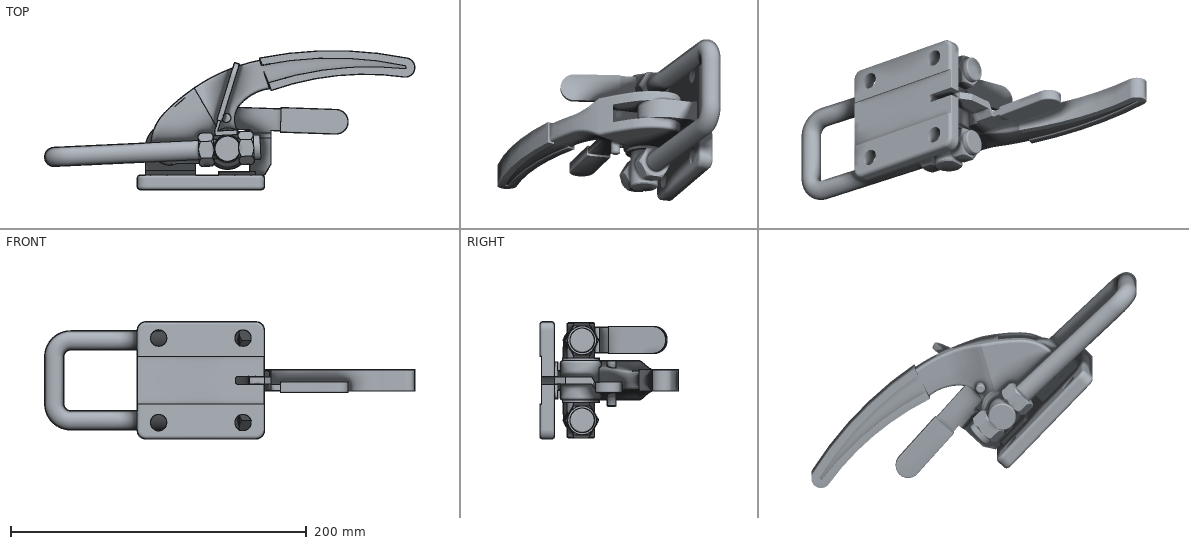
import cadquery as cq
import math


plate_length = 86.2
plate_thickness = 10.0
plate_width = 79.5
plate_corner = 6.0
plate_edge_round = 2.3
hole_spacing = 57.1
hole_diameter = 11.0
relief_width = 32.3
relief_depth = 1.0
catch_slot_start = 66.5
catch_slot_width = 5.5
catch_slot_corner = 2.0
boss_start = 55.1
boss_length = 25.0
boss_width = 25.0
boss_height = 2.3
boss_corner = 2.5
base_root = plate_thickness / 2

pivot_x = 22.5
pivot_y = 29.8
lug_radius = 17.0
lug_round_y = 28.3
lug_width = 12.5
lug_foot_width = 13.5
lug_foot_height = 3.0

trunnion_x = 61.1
trunnion_y = 27.8
trunnion_radius = 9.3
trunnion_width = 78.2
trunnion_edge = 0.8
trunnion_flat = 7.5
bolt_tilt = 2.7
rod_diameter = 13.0
rod_spacing = 54.1
rod_bend_radius = 11.3
loop_left = -62.6
loop_reach = (trunnion_x - loop_left - rod_diameter / 2) / math.cos(math.radians(bolt_tilt))
nut_flats = 19.5
nut_height = 10.3
nut_chamfer = 1.5
collar_round = 1.0
collar_diameter = 16.5
collar_height = 4.5

handle_width = 26.5
neck_width = 12.5
underside_start = 27.5
rim_round = 1.8
handle_end_radius = 13.3
handle_underside = 17.8
handle_boss_radius = 14.0
washer_radius = 12.5
washer_height = 1.8
lug_slot_end = 40.0
lug_slot_top = 62.0
taper_start = (38.3, 69.5)
taper_direction = 30.0
taper_angle = 22.0
taper_ramp = 3.0
taper_length = 27.5
back_shoulder = (18.0, 51.5)
back_arch = (49.0, 75.5)
neck_top = (83.0, 87.7)
neck_bottom = (89.7, 68.5)
neck_bend = (78.0, 64.5)
hook_top = (69.7, 57.6)
hook_middle = (66.0, 48.5)
hook_bottom = (68.7, 39.0)

grip_width = 14.5
grip_top_start = (82.7, 89.2)
grip_top_crest = (131.3, 94.2)
grip_top_end = (182.7, 89.2)
grip_tip = (188.0, 83.0)
grip_bottom_end = (181.5, 76.2)
grip_bottom_crest = (135.3, 77.2)
grip_bottom_start = (90.7, 67.2)
tongue_top_start = (84.0, 84.2)
tongue_top_crest = (131.5, 89.2)
tongue_top_end = (181.7, 84.0)
tongue_bottom_end = (182.0, 82.0)
tongue_bottom_crest = (135.3, 82.2)
tongue_bottom_start = (88.7, 72.5)

lever_x = 60.5
lever_y = 48.5
lever_tilt = -2.0
lever_pin_radius = 3.0
lever_pin_chamfer = 0.8
lever_pin_tip = -17.8
arm_height = 15.0
arm_thickness = 4.0
arm_middle = -4.8
arm_overlap = 5.0
pad_start = 36.8
pad_end = 82.5
pad_height = 16.8
pad_thickness = 7.0
pad_edge = 0.8
catch_left = 76.2
catch_right = 90.7
catch_bottom = 10.0
catch_toe = 86.2
catch_toe_top = 17.5
catch_thickness = 4.8
joggle_bottom = 35.0
joggle_top = 38.3

tab_middle = 27.3
tab_width = 18.3
tab_thickness = 3.5
tab_lean = 17.0
tab_length = 40.5
tab_root = (55.6, 46.9)
tab_sheet = 2.0
tab_sheet_width = 17.3
tab_stem_drop = 8.0
tab_stem_overlap = 2.5
tab_foot_start = -8.0
tab_foot_length = 15.0
tab_foot_thickness = 3.0

CLEAR = 250.5


def tilt_with_bolt(shape):
    """Move a shape built around the trunnion axis to its tilted place."""
    turned = shape.rotate((0, 0, 0), (0, 0, 1), bolt_tilt)
    return turned.translate((trunnion_x, trunnion_y, 0))


def block(x0, x1, y0, y1, z0, z1):
    return cq.Workplane("XY").box(x1 - x0, y1 - y0, z1 - z0, centered=False).translate((x0, y0, z0))


def slab(outline, width, middle=0.0):
    """Extrude a closed XY outline to a width centred on a Z position."""
    return outline.extrude(width / 2, both=True).translate((0, 0, middle))


def disc(x, y, radius, width, middle=0.0):
    return slab(cq.Workplane("XY").center(x, y).circle(radius), width, middle)


def make_plate():
    half = plate_width / 2
    plate = block(0, plate_length, 0, plate_thickness, -half, half).edges("|Y").fillet(plate_corner)
    return plate.faces("<Y or >Y").edges().fillet(plate_edge_round)


def make_boss():
    """Raised pad on the back of the plate, rooted inside it."""
    half = boss_width / 2
    boss = block(boss_start, boss_start + boss_length, base_root, plate_thickness + boss_height, -half, half)
    return boss.edges("|Y").fillet(boss_corner)


def make_lug():
    """Round-topped lug on a slightly wider foot, rooted inside the plate."""
    left = pivot_x - lug_radius
    right = pivot_x + lug_radius
    half_foot = lug_foot_width / 2
    foot = block(left, right, base_root, plate_thickness + lug_foot_height, -half_foot, half_foot)
    outline = (
        cq.Workplane("XY")
        .moveTo(left, base_root)
        .lineTo(right, base_root)
        .lineTo(right, lug_round_y)
        .threePointArc((pivot_x, lug_round_y + lug_radius), (left, lug_round_y))
        .close()
    )
    return foot.union(slab(outline, lug_width))


def make_base():
    base = make_plate().union(make_boss()).union(make_lug())
    half_relief = relief_width / 2
    base = base.cut(block(-CLEAR, CLEAR, -CLEAR, relief_depth, -half_relief, half_relief))
    hole = cq.Workplane("XZ").circle(hole_diameter / 2).extrude(-plate_thickness)
    for x_side in (-1, 1):
        for z_side in (-1, 1):
            hole_x = (plate_length + x_side * hole_spacing) / 2
            base = base.cut(hole.translate((hole_x, 0, z_side * hole_spacing / 2)))
    half_slot = catch_slot_width / 2
    slot = block(catch_slot_start, CLEAR, 0, plate_thickness + boss_height, -half_slot, half_slot)
    return base.cut(slot.edges("|Y and <X").fillet(catch_slot_corner))


def bolt_rod():
    """U-shaped rod around the trunnion axis, its legs along local X."""
    end = trunnion_flat + nut_height + collar_height
    half = rod_spacing / 2
    bend_x = rod_bend_radius - loop_reach
    bend_z = half - rod_bend_radius
    diagonal = rod_bend_radius * math.sqrt(0.5)
    path = (
        cq.Workplane("XZ")
        .moveTo(end, half)
        .lineTo(bend_x, half)
        .threePointArc((bend_x - diagonal, bend_z + diagonal), (-loop_reach, bend_z))
        .lineTo(-loop_reach, -bend_z)
        .threePointArc((bend_x - diagonal, -bend_z - diagonal), (bend_x, -half))
        .lineTo(end, -half)
    )
    return cq.Workplane("YZ", origin=(end, 0, half)).circle(rod_diameter / 2).sweep(path)


def hex_nut(x, z):
    """Hexagon nut with its corners toward +-Y, starting at x and bevelled at both ends."""
    corner_diameter = nut_flats / math.cos(math.radians(30))
    nut = cq.Workplane("YZ").polygon(6, corner_diameter).extrude(nut_height)
    bevel = cq.Workplane("YZ").circle(corner_diameter / 2).extrude(nut_height)
    bevel = bevel.faces("<X or >X").edges().chamfer(nut_chamfer)
    return nut.intersect(bevel).translate((x, 0, z))


def make_u_bolt():
    bolt = bolt_rod()
    for side in (-1, 1):
        z = side * rod_spacing / 2
        collar = cq.Workplane("YZ").circle(collar_diameter / 2).extrude(collar_height)
        collar = collar.faces(">X").edges().fillet(collar_round)
        bolt = bolt.union(hex_nut(-trunnion_radius - nut_height, z))
        bolt = bolt.union(hex_nut(trunnion_flat, z))
        bolt = bolt.union(collar.translate((trunnion_flat + nut_height, 0, z)))
    return tilt_with_bolt(bolt)


def make_trunnion():
    """Cross pin, flattened on +X outside the handle and bored for both legs of the U-bolt."""
    trunnion = disc(0, 0, trunnion_radius, trunnion_width).faces("<Z or >Z").edges().chamfer(trunnion_edge)
    flat_start = handle_width / 2 + washer_height
    flat = block(trunnion_flat, CLEAR, -CLEAR, CLEAR, flat_start, CLEAR)
    bore = cq.Workplane("YZ").circle(rod_diameter / 2).extrude(CLEAR, both=True)
    side_cuts = flat.union(bore.translate((0, 0, rod_spacing / 2)))
    return tilt_with_bolt(trunnion.cut(side_cuts).cut(side_cuts.mirror("XY")))


def handle_outline():
    """Side shape of the lever: rounded pivot end, arched back and hooked inner edge."""
    diagonal = handle_end_radius * math.sqrt(0.5)
    return (
        cq.Workplane("XY")
        .moveTo(pivot_x, pivot_y - handle_end_radius)
        .threePointArc((pivot_x - diagonal, pivot_y - diagonal), (pivot_x - handle_end_radius, pivot_y))
        .tangentArcPoint(back_shoulder, relative=False)
        .tangentArcPoint(back_arch, relative=False)
        .tangentArcPoint(neck_top, relative=False)
        .lineTo(*neck_bottom)
        .threePointArc(neck_bend, hook_top)
        .threePointArc(hook_middle, hook_bottom)
        .lineTo(trunnion_x, handle_underside)
        .lineTo(underside_start, handle_underside)
        .close()
    )


def tongue_outline():
    """Tapering tongue of the handle that fills the opening of the grip."""
    return (
        cq.Workplane("XY")
        .moveTo(*tongue_top_start)
        .threePointArc(tongue_top_crest, tongue_top_end)
        .lineTo(*tongue_bottom_end)
        .threePointArc(tongue_bottom_crest, tongue_bottom_start)
        .close()
    )


def grip_outline():
    """Curved grip with a round tip."""
    return (
        cq.Workplane("XY")
        .moveTo(*grip_top_start)
        .threePointArc(grip_top_crest, grip_top_end)
        .threePointArc(grip_tip, grip_bottom_end)
        .threePointArc(grip_bottom_crest, grip_bottom_start)
        .close()
    )


def neck_cutter():
    """Tool that thins the upper side of the handle: a ramp, then a hollow arc into the flat neck."""
    slope = math.radians(taper_angle)
    cheek = handle_width / 2
    neck = neck_width / 2
    ramp_z = cheek - taper_ramp * math.tan(slope)
    arc_length = taper_length - taper_ramp
    radius = arc_length / math.sin(slope)
    mid = slope / 2
    arc_mid = (taper_length - radius * math.sin(mid), neck + radius * (1 - math.cos(mid)))
    tool = (
        cq.Workplane("XZ")
        .moveTo(0, cheek)
        .lineTo(taper_ramp, ramp_z)
        .threePointArc(arc_mid, (taper_length, neck))
        .lineTo(CLEAR, neck)
        .lineTo(CLEAR, CLEAR)
        .lineTo(0, CLEAR)
        .close()
        .extrude(CLEAR, both=True)
    )
    return tool.rotate((0, 0, 0), (0, 0, 1), taper_direction).translate((*taper_start, 0))


def make_handle():
    hub = disc(trunnion_x, trunnion_y, handle_boss_radius, handle_width)
    hub = hub.faces("<Z or >Z").edges().fillet(rim_round)
    handle = slab(handle_outline(), handle_width).cut(neck_cutter()).cut(neck_cutter().mirror("XY"))
    handle = handle.edges("%CIRCLE or %BSPLINE or %ELLIPSE").fillet(rim_round)
    handle = handle.union(hub)
    handle = handle.union(slab(tongue_outline(), neck_width))
    handle = handle.union(disc(trunnion_x, trunnion_y, washer_radius, handle_width + 2 * washer_height))
    half = lug_width / 2
    handle = handle.cut(block(-CLEAR, lug_slot_end, -CLEAR, lug_slot_top, -half, half))
    return handle.cut(disc(trunnion_x, trunnion_y, trunnion_radius, CLEAR))


def make_grip(handle):
    """Grip with an opening for the tongue and a socket for the end of the neck."""
    grip = slab(grip_outline(), grip_width).cut(slab(tongue_outline(), grip_width))
    return grip.cut(handle)


def lever_arm():
    """Flat arm with a round eye at the origin, running along +X into the pad."""
    eye = disc(0, 0, arm_height / 2, arm_thickness, arm_middle)
    half = arm_height / 2
    z_low = arm_middle - arm_thickness / 2
    z_high = arm_middle + arm_thickness / 2
    return eye.union(block(0, pad_start + arm_overlap, -half, half, z_low, z_high))


def lever_pad():
    half = pad_height / 2
    outline = (
        cq.Workplane("XY")
        .moveTo(pad_start, -half)
        .lineTo(pad_end - half, -half)
        .threePointArc((pad_end, 0), (pad_end - half, half))
        .lineTo(pad_start, half)
        .close()
    )
    pad = slab(outline, pad_thickness, arm_middle)
    return pad.faces("<Z or >Z").edges("not |Y").fillet(pad_edge)


def lever_pin():
    """Pivot pin, flush with the +Z cheek of the handle and standing out on the -Z side."""
    pin = cq.Workplane("XY", origin=(0, 0, lever_pin_tip)).circle(lever_pin_radius)
    pin = pin.extrude(handle_width / 2 - lever_pin_tip)
    return pin.faces("<Z").edges().chamfer(lever_pin_chamfer)


def lever_catch():
    """Leg that drops into the base slot, joined to the arm by a joggle in Z."""
    outline = (
        cq.Workplane("XY")
        .moveTo(catch_left, catch_bottom)
        .lineTo(catch_toe, catch_bottom)
        .lineTo(catch_right, catch_toe_top)
        .lineTo(catch_right, joggle_bottom)
        .lineTo(catch_left, joggle_bottom)
        .close()
    )
    half = catch_thickness / 2
    arm_low = arm_middle - arm_thickness / 2
    arm_high = arm_middle + arm_thickness / 2
    joggle = (
        cq.Workplane("YZ", origin=(catch_left, 0, 0))
        .moveTo(joggle_bottom, half)
        .lineTo(joggle_top, arm_high)
        .lineTo(lever_y, arm_high)
        .lineTo(lever_y, arm_low)
        .lineTo(joggle_top, arm_low)
        .lineTo(joggle_bottom, -half)
        .close()
        .extrude(catch_right - catch_left)
    )
    return slab(outline, catch_thickness).union(joggle)


def make_lever():
    lever = lever_arm().union(lever_pad()).union(lever_pin())
    lever = lever.rotate((0, 0, 0), (0, 0, 1), lever_tilt).translate((lever_x, lever_y, 0))
    return lever.union(lever_catch())


def make_tab():
    """Leaning thumb tab: round-ended blade, thinner stem and a foot resting on the trunnion."""
    half = tab_width / 2
    blade = (
        cq.Workplane("YZ")
        .moveTo(0, -half)
        .lineTo(tab_length - half, -half)
        .threePointArc((tab_length, 0), (tab_length - half, half))
        .lineTo(0, half)
        .close()
        .extrude(tab_thickness / 2, both=True)
    )
    half_sheet = tab_sheet / 2
    half_width = tab_sheet_width / 2
    stem = block(-half_sheet, half_sheet, -tab_stem_drop, tab_stem_overlap, -half_width, half_width)
    tab = blade.union(stem).rotate((0, 0, 0), (0, 0, 1), -tab_lean).translate((*tab_root, tab_middle))
    foot = block(tab_foot_start, tab_foot_start + tab_foot_length, trunnion_radius,
                 trunnion_radius + tab_foot_thickness, tab_middle - half_width, tab_middle + half_width)
    return tab.union(tilt_with_bolt(foot))


base = make_base()
u_bolt = make_u_bolt()
trunnion = make_trunnion()
lever = make_lever()
handle = make_handle().cut(lever)
grip = make_grip(handle)
tab = make_tab()

result = cq.Compound.makeCompound([
    base.val(),
    u_bolt.val(),
    trunnion.val(),
    handle.val(),
    grip.val(),
    lever.val(),
    tab.val(),
])